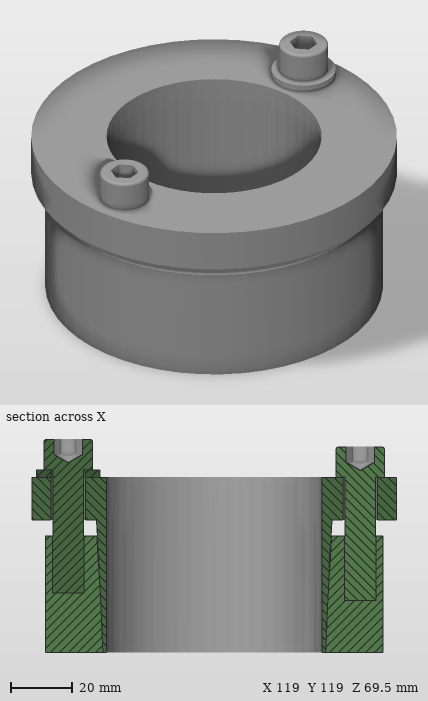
import cadquery as cq
import math


ring_diameter = 110.0
ring_height = 38.1

flange_diameter = 119.0
flange_thickness = 13.9
bore_diameter = 70.0
gap = 5.0
neck_radius = 38.4
taper_angle = 3.0
flange_bottom = ring_height + gap
flange_top = flange_bottom + flange_thickness


def cone_radius(z):
    """Radius of the fitted cone at height z."""
    return neck_radius - (flange_bottom - z) * math.tan(math.radians(taper_angle))


washer_diameter = 21.0
washer_bore = 10.7
washer_thickness = 2.5
tooth_count = 16
tooth_height = 0.4
groove_width = 0.1
groove_depth = 0.4

screw_offset = 47.5
shank_diameter = 10.0
shank_length = 40.0
head_diameter = 16.0
head_height = 10.0
head_fillet = 1.0
clearance_diameter = 11.0
socket_flats = 8.0
socket_depth = 5.0
socket_point_angle = 120.0

plain_seat = (-screw_offset, flange_top)
washer_seat = (screw_offset, flange_top + washer_thickness)
screw_seats = [plain_seat, washer_seat]


def cylinder(diameter, bottom, top, y=0.0):
    """Upright cylinder between two heights, with its axis at X = 0."""
    return (
        cq.Workplane("XY", origin=(0, y, bottom))
        .circle(diameter / 2)
        .extrude(top - bottom)
    )


def make_cone():
    """Solid cone that fills the taper from the bottom face to the flange."""
    return (
        cq.Workplane("XY")
        .circle(cone_radius(0))
        .workplane(offset=flange_bottom)
        .circle(neck_radius)
        .loft(ruled=True)
    )


def make_ring():
    """Outer ring with a tapered bore and a blind hole for each screw."""
    ring = cylinder(ring_diameter, 0, ring_height).cut(make_cone())
    for y, seat in screw_seats:
        ring = ring.cut(cylinder(shank_diameter, seat - shank_length, ring_height, y))
    return ring


def make_hub():
    """Tapered hub and flange in one piece, with a through bore and clearance holes."""
    flange = cylinder(flange_diameter, flange_bottom, flange_top)
    hub = make_cone().union(flange).cut(cylinder(bore_diameter, 0, flange_top))
    for y, _ in screw_seats:
        hub = hub.cut(cylinder(clearance_diameter, flange_bottom, flange_top, y))
    return hub


def make_socket(top, y):
    """Hexagon socket, corners along Y, with a conical floor."""
    corner_radius = socket_flats / math.sqrt(3)
    tip_depth = corner_radius / math.tan(math.radians(socket_point_angle / 2))
    total_depth = socket_depth + tip_depth
    hexagon = (
        cq.Workplane("XY", origin=(0, y, top - total_depth))
        .transformed(rotate=(0, 0, 90))
        .polygon(6, 2 * corner_radius)
        .extrude(total_depth)
    )
    pointed_bore = (
        cq.Workplane("XZ", origin=(0, y, top))
        .lineTo(corner_radius, 0)
        .lineTo(corner_radius, -socket_depth)
        .lineTo(0, -total_depth)
        .close()
        .revolve(360, (0, 0, 0), (0, 1, 0))
    )
    return hexagon.intersect(pointed_bore)


def make_screw(y, seat):
    """Socket head screw whose head rests at height seat."""
    head_top = seat + head_height
    head = cylinder(head_diameter, seat, head_top, y).faces(">Z").edges().fillet(head_fillet)
    shank = cylinder(shank_diameter, seat - shank_length, seat, y)
    return head.union(shank).cut(make_socket(head_top, y))


def make_washer():
    """Wedge-lock washer with a shallow saw-tooth parting groove around its rim."""
    y, top = washer_seat
    middle = top - washer_thickness / 2
    washer = cylinder(washer_diameter, flange_top, top, y)
    washer = washer.cut(cylinder(washer_bore, flange_top, top, y))

    pitch_angle = 360 / tooth_count
    pitch_length = washer_diameter * math.tan(math.radians(pitch_angle / 2))
    slope = math.degrees(math.atan(tooth_height / pitch_length))
    slot = (
        cq.Workplane("XY")
        .box(2 * groove_depth, pitch_length, groove_width)
        .rotate((0, 0, 0), (1, 0, 0), slope)
        .translate((washer_diameter / 2, 0, 0))
    )
    for tooth in range(tooth_count):
        turned_slot = slot.rotate((0, 0, 0), (0, 0, 1), tooth * pitch_angle)
        washer = washer.cut(turned_slot.translate((0, y, middle)))
    return washer


ring = make_ring()
hub = make_hub()
washer = make_washer()
screws = [make_screw(y, seat) for y, seat in screw_seats]

result = cq.Compound.makeCompound(
    [ring.val(), hub.val(), washer.val(), *[screw.val() for screw in screws]]
)